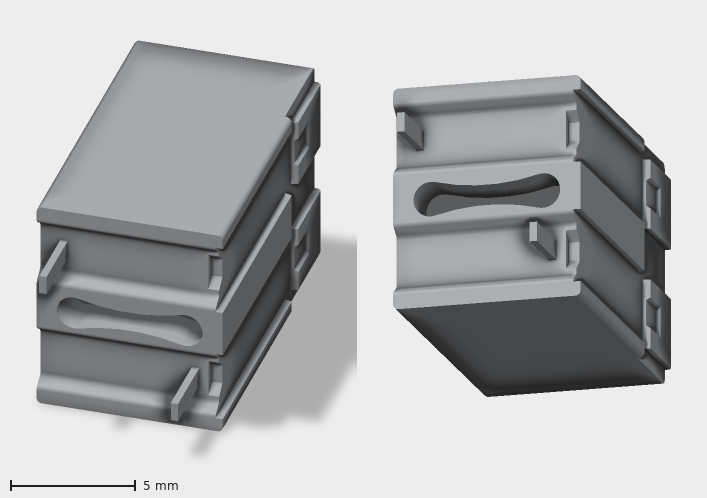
import cadquery as cq
import math

width = 7.8
height = 9.2
overall_length = 16.0
pin_length = 2.4
body_length = overall_length - pin_length
edge_radius = 0.2
right = width / 2

level_pitch = 5.0
levels = (-level_pitch / 2, level_pitch / 2)

groove_depth = 0.51
groove_floor_width = 2.1
groove_side_angle = math.radians(56)
groove_radius = 0.2
groove_half_floor = groove_floor_width / 2
groove_half_top = groove_half_floor + groove_depth / math.tan(groove_side_angle)
groove_tangent = groove_radius * math.tan(groove_side_angle / 2)
groove_half_mouth = groove_half_top + groove_tangent

side_recess = 0.3
recess_face = right - side_recess
panel_height = 2.88
panel_offset = -0.05

channel_front = 9.58
channel_back = 10.29
channel_flare = 0.1

panel_recess_depth = 0.16
panel_recess_length = 1.6
panel_recess_floor = 1.07
panel_recess_mouth = 1.26

pocket_width = 0.45
pocket_mouth = 1.6
pocket_break = 1.02
pocket_floor = 0.82
pocket_break_depth = 0.34
pocket_depth = 0.43

waist_end_radius = 0.72
waist_half_height = 0.42
waist_end_x = 2.34
waist_centre_z = -0.11
waist_depth = 1.92

pin_thickness = 0.3
pin_height = 0.8
pin_centres_x = (2.6, -2.91)


def box(x_min, x_max, y_min, y_max, z_min, z_max):
    """Axis-aligned box between two corners."""
    size = (x_max - x_min, y_max - y_min, z_max - z_min)
    return cq.Workplane("XY").box(*size, centered=False).translate((x_min, y_min, z_min))


def housing():
    """Block with every edge rounded except those around the front face."""
    block = box(-right, right, 0, body_length, -height / 2, height / 2)
    return block.edges("|Y or >Y").fillet(edge_radius)


def groove(level):
    """Trapezoid groove across the full width, with rounded floor and mouth corners."""
    half_angle = groove_side_angle / 2
    along_y = groove_tangent * math.sin(groove_side_angle)
    along_z = groove_tangent * math.cos(groove_side_angle)
    arc_y = groove_radius * (1 - math.cos(half_angle))
    arc_z = groove_radius * math.sin(half_angle)
    floor_end = groove_half_floor - groove_tangent

    def side(sign):
        """Mouth arc and floor arc of one side, each as start, middle and end."""
        arcs = (
            (
                (0, groove_half_mouth),
                (arc_y, groove_half_mouth - arc_z),
                (along_y, groove_half_top - along_z),
            ),
            (
                (groove_depth - along_y, groove_half_floor + along_z),
                (groove_depth - arc_y, floor_end + arc_z),
                (groove_depth, floor_end),
            ),
        )
        return [[(y, level + sign * z) for y, z in arc] for arc in arcs]

    upper_mouth, upper_floor = side(1)
    lower_mouth, lower_floor = side(-1)
    return (
        cq.Workplane("YZ", origin=(-right, 0, 0))
        .moveTo(*upper_mouth[0])
        .threePointArc(*upper_mouth[1:])
        .lineTo(*upper_floor[0])
        .threePointArc(*upper_floor[1:])
        .lineTo(*lower_floor[2])
        .threePointArc(lower_floor[1], lower_floor[0])
        .lineTo(*lower_mouth[2])
        .threePointArc(lower_mouth[1], lower_mouth[0])
        .close()
        .extrude(width)
    )


def front_clearance(level):
    """Space cut from the right side in front of the channel, as tall as the groove mouth."""
    bottom = level - groove_half_mouth
    top = level + groove_half_mouth
    return box(recess_face, right, 0, channel_back, bottom, top)


def rear_clearance():
    """Space cut from the right side behind the channel, leaving the panels standing."""
    space = box(recess_face, right, channel_back, body_length, -height / 2, height / 2)
    for level in levels:
        bottom = level + panel_offset - panel_height / 2
        top = bottom + panel_height
        space = space.cut(box(recess_face, right, channel_back, body_length, bottom, top))
    return space


def channel():
    """Flared channel running the full height of the right side."""
    outline = [
        (recess_face, channel_front),
        (right, channel_front - channel_flare),
        (right, channel_back + channel_flare),
        (recess_face, channel_back),
    ]
    return cq.Workplane("XY").polyline(outline).close().extrude(height / 2, both=True)


def panel_recess(level):
    """Shallow trapezoid recess in the outer face of a panel, starting at its front end."""
    outline = [
        (right - panel_recess_depth, level - panel_recess_floor / 2),
        (right, level - panel_recess_mouth / 2),
        (right, level + panel_recess_mouth / 2),
        (right - panel_recess_depth, level + panel_recess_floor / 2),
    ]
    start = cq.Workplane("XZ", origin=(0, channel_back, 0))
    return start.polyline(outline).close().extrude(-panel_recess_length)


def corner_pocket(level):
    """Tapering pocket in the groove floor, open towards the right side."""
    half_section = (
        (groove_depth, pocket_mouth / 2),
        (groove_depth + pocket_break_depth, pocket_break / 2),
        (groove_depth + pocket_depth, pocket_floor / 2),
    )
    upper = [(y, level + z) for y, z in half_section]
    lower = [(y, level - z) for y, z in reversed(half_section)]
    start = cq.Workplane("YZ", origin=(recess_face - pocket_width, 0, 0))
    return start.polyline(upper + lower).close().extrude(pocket_width)


def waisted_hole():
    """Two round ends joined by concave arcs tangent to both."""
    rise = waist_end_radius - waist_half_height
    side_radius = (waist_end_x**2 + waist_half_height**2 - waist_end_radius**2) / (2 * rise)
    side_centre = waist_half_height + side_radius
    share = waist_end_radius / (waist_end_radius + side_radius)
    touch_x = waist_end_x * (1 - share)
    touch_z = side_centre * share
    end_x = waist_end_x + waist_end_radius
    return (
        cq.Workplane("XZ", origin=(0, 0, waist_centre_z))
        .moveTo(-touch_x, touch_z)
        .threePointArc((0, waist_half_height), (touch_x, touch_z))
        .threePointArc((end_x, 0), (touch_x, -touch_z))
        .threePointArc((0, -waist_half_height), (-touch_x, -touch_z))
        .threePointArc((-end_x, 0), (-touch_x, touch_z))
        .close()
        .extrude(-waist_depth)
    )


def pin(level, centre_x):
    """Flat pin standing out of the groove floor."""
    half_x = pin_thickness / 2
    half_z = pin_height / 2
    return box(
        centre_x - half_x, centre_x + half_x, -pin_length, groove_depth, level - half_z, level + half_z
    )


result = housing().cut(waisted_hole()).cut(channel()).cut(rear_clearance())
for level, pin_x in zip(levels, pin_centres_x):
    result = (
        result.cut(groove(level))
        .cut(front_clearance(level))
        .cut(panel_recess(level))
        .cut(corner_pocket(level))
        .union(pin(level, pin_x))
    )